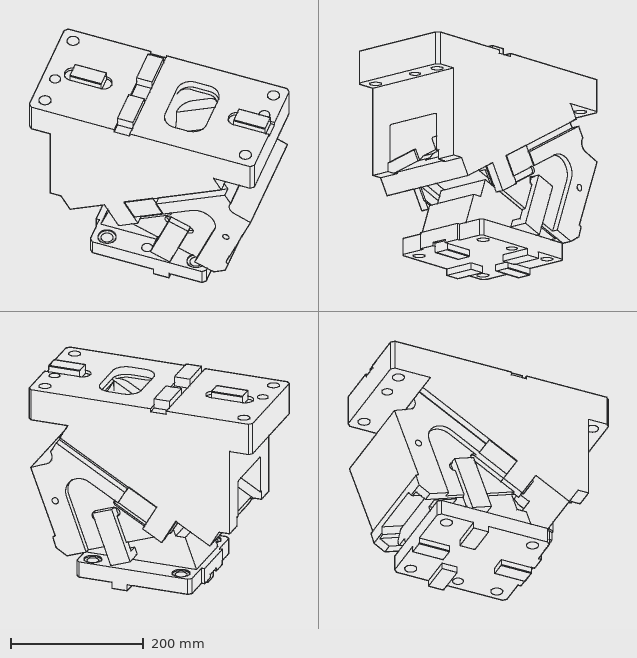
import cadquery as cq
import math


TOTAL_HEIGHT = 318.0
WIDTH = 165.0
HALF_WIDTH = WIDTH / 2
CORNER_CHAMFER = 5.0
MARGIN = 18.0

KEY_LENGTH = 50.0
KEY_WIDTH = 25.0
KEY_HEIGHT = 15.0
KEY_STAND = 10.0
KEY_CHAMFER = 1.0
KEY_SEAT_LENGTH = 75.0

BOLT_DIAMETER = 18.0
DOWEL_DIAMETER = 16.2

GUIDE_ANGLE = 30
GUIDE_X = 153.0
GUIDE_Z = 145.8
GUIDE_LENGTH = 180.0
HOOK_LENGTH = 35.5
HOOK_DEPTH = 45.0
CORE_HALF_WIDTH = 69.0

DRIVE_ANGLE = 20
HEEL_U = -25.2


def guide(u, v):
    """Point u along the guide face and v square to it (positive into the cam base)."""
    a = math.radians(GUIDE_ANGLE)
    return (GUIDE_X + u * math.cos(a) - v * math.sin(a), GUIDE_Z + u * math.sin(a) + v * math.cos(a))


DRIVE_X, DRIVE_Z = guide(HEEL_U, -HOOK_DEPTH)


def drive(p, w):
    """Point p along the slide underside and w square to it (positive into the slide)."""
    a = math.radians(DRIVE_ANGLE)
    return (DRIVE_X + p * math.cos(a) + w * math.sin(a), DRIVE_Z - p * math.sin(a) + w * math.cos(a))


def guide_down_to(u, z):
    """Point at height z on the line square to the guide face at u."""
    a = math.radians(GUIDE_ANGLE)
    return guide(u, (z - GUIDE_Z - u * math.sin(a)) / math.cos(a))


def drive_down_to(p, z):
    """Point at height z on the line square to the slide underside at p."""
    a = math.radians(DRIVE_ANGLE)
    return drive(p, (z - DRIVE_Z + p * math.sin(a)) / math.cos(a))


def rectangle(place, a0, a1, b0, b1):
    """Corners of a rectangle in the guide or drive directions."""
    return [place(a0, b0), place(a1, b0), place(a1, b1), place(a0, b1)]


def closed(points):
    return cq.Workplane("XZ").polyline(points).close()


def across(outline, y0, y1):
    """Extrude an XZ outline from y0 to y1."""
    return outline.extrude(y1 - y0).translate((0, y1, 0))


def centred(points, half_width):
    return across(closed(points), -half_width, half_width)


def both_sides(solid):
    return solid.union(solid.mirror("XZ"))


def block(x0, x1, y0, y1, z0, z1):
    return cq.Workplane("XY").box(x1 - x0, y1 - y0, z1 - z0, centered=False).translate((x0, y0, z0))


def x_key(x0, z0, outer_face):
    """Key along X in the middle of the width; its long outer edges are chamfered."""
    key = block(x0, x0 + KEY_LENGTH, -KEY_WIDTH / 2, KEY_WIDTH / 2, z0, z0 + KEY_HEIGHT)
    return key.faces(outer_face).edges("|X").chamfer(KEY_CHAMFER)


def y_keys(x0, y0, z0):
    """Two keys along Y, one on each side of the middle."""
    return both_sides(block(x0, x0 + KEY_WIDTH, y0, y0 + KEY_LENGTH, z0, z0 + KEY_HEIGHT))


PLATE_LENGTH = 360.0
PLATE_THICKNESS = 50.0
PLATE_TOP = TOTAL_HEIGHT - KEY_STAND
PLATE_BOTTOM = PLATE_TOP - PLATE_THICKNESS
TOP_KEY_Z = TOTAL_HEIGHT - KEY_HEIGHT

BODY_LEFT = 35.0
BODY_BOTTOM = 121.5
NOSE_U = -99.5
FLOOR_V = 31.5

LEFT_KEY_X = 41.5
RIGHT_KEY_X = 303.5
CROSS_KEY_X = 137.5
TOP_CROSS_KEY_Y = 17.5

PLATE_BOLT_INSET = 19.8
PLATE_BOLT_Y = 62.5
LEFT_DOWEL_Y = -17.5
RIGHT_DOWEL_Y = 22.0

POCKET_HALF_WIDTH = 47.5
POCKET_TOP = 194.0
POCKET_END_U = 2.5
POCKET_CORNER = 3.5
SLOT_HALF_WIDTH = 51.0
SLOT_TOP_V = 49.5
RAMP_START_U = -41.0
RAMP_END_U = -30.5
RAMP_HEIGHT = 3.5
BUFFER_HALF_WIDTH = 27.0
BUFFER_U = -52.0

WINDOW_LEFT = 199.0
WINDOW_RIGHT = 265.0
WINDOW_CORNER = 21.5
WINDOW_RIM_DEPTH = 16.0
WINDOW_LEDGE = 3.2
WINDOW_FLOOR_V = 73.0
TROUGH_RADIUS = 23.0
TROUGH_AXIS_V = 58.5
BORE_START_U = 108.0
BORE_END_U = 167.5


def base_outline():
    return [
        (BODY_LEFT, PLATE_TOP - CORNER_CHAMFER),
        (BODY_LEFT, BODY_BOTTOM),
        guide_down_to(NOSE_U, BODY_BOTTOM),
        guide(NOSE_U, 0),
        guide(GUIDE_LENGTH, 0),
        guide_down_to(GUIDE_LENGTH, PLATE_BOTTOM),
        guide_down_to(GUIDE_LENGTH, PLATE_TOP - CORNER_CHAMFER),
    ]


def left_pocket():
    """Opening in the left wall, ending at a wall square to the guide, with a buffer opening in its floor."""
    outside_x = BODY_LEFT - MARGIN
    outside_u = NOSE_U - MARGIN
    outline = [
        (outside_x, POCKET_TOP),
        (outside_x, BODY_BOTTOM),
        guide_down_to(NOSE_U, BODY_BOTTOM),
        guide(NOSE_U, FLOOR_V),
        guide(RAMP_START_U, FLOOR_V),
        guide(RAMP_END_U, FLOOR_V + RAMP_HEIGHT),
        guide(POCKET_END_U, FLOOR_V + RAMP_HEIGHT),
        guide_down_to(POCKET_END_U, POCKET_TOP),
    ]
    pocket = centred(outline, POCKET_HALF_WIDTH)
    pocket = pocket.faces(">Z").edges("|X").fillet(POCKET_CORNER)
    slot = rectangle(guide, outside_u, RAMP_START_U, FLOOR_V, SLOT_TOP_V)
    buffer_opening = rectangle(guide, BUFFER_U, POCKET_END_U, 0, SLOT_TOP_V)
    pocket = pocket.union(centred(slot, SLOT_HALF_WIDTH))
    return pocket.union(centred(buffer_opening, BUFFER_HALF_WIDTH))


def spring_bore(u0, u1):
    """Cylinder on the axis of the spring trough, parallel to the guide face."""
    start_x, start_z = guide(u0, TROUGH_AXIS_V)
    end_x, end_z = guide(u1, TROUGH_AXIS_V)
    plane = cq.Plane(origin=(start_x, 0, start_z), xDir=(0, 1, 0), normal=(end_x - start_x, 0, end_z - start_z))
    return cq.Workplane(plane).circle(TROUGH_RADIUS).extrude(u1 - u0)


def spring_window():
    """Opening in the top, down to the sloping floor and the round-bottomed spring trough."""
    rim_bottom = PLATE_TOP - WINDOW_RIM_DEPTH
    rim = block(WINDOW_LEFT, WINDOW_RIGHT, -POCKET_HALF_WIDTH, POCKET_HALF_WIDTH, rim_bottom, PLATE_TOP)
    rim = rim.edges("|Z").fillet(WINDOW_CORNER).faces("<Z").chamfer(WINDOW_LEDGE)
    inner_half_width = POCKET_HALF_WIDTH - WINDOW_LEDGE
    inner = block(WINDOW_LEFT, WINDOW_RIGHT - WINDOW_LEDGE, -inner_half_width, inner_half_width, 0, PLATE_TOP)
    prism = rim.union(inner.edges("|Z").fillet(WINDOW_CORNER - WINDOW_LEDGE))
    above_floor = centred(rectangle(guide, 0, PLATE_LENGTH, WINDOW_FLOOR_V, PLATE_LENGTH), HALF_WIDTH)
    trough_walls = centred(rectangle(guide, 0, PLATE_LENGTH, TROUGH_AXIS_V, PLATE_LENGTH), TROUGH_RADIUS)
    window = prism.intersect(above_floor.union(trough_walls).union(spring_bore(0, PLATE_LENGTH)))
    return window.union(spring_bore(BORE_START_U, BORE_END_U))


def top_key_seats():
    seat_floor = cq.Workplane("XY", origin=(0, 0, TOP_KEY_Z))
    left = seat_floor.center(LEFT_KEY_X + KEY_LENGTH / 2, 0).slot2D(KEY_SEAT_LENGTH, KEY_WIDTH).extrude(MARGIN)
    overrun = KEY_SEAT_LENGTH - KEY_LENGTH
    right = seat_floor.center(RIGHT_KEY_X + KEY_LENGTH / 2 + overrun / 2, 0)
    right = right.slot2D(KEY_SEAT_LENGTH + overrun, KEY_WIDTH).extrude(MARGIN)
    cross = block(CROSS_KEY_X, CROSS_KEY_X + KEY_WIDTH, -HALF_WIDTH, HALF_WIDTH, TOP_KEY_Z, TOTAL_HEIGHT)
    return left.union(right).union(cross)


def plate_holes():
    right_x = PLATE_LENGTH - PLATE_BOLT_INSET
    bolts = [(x, y) for x in (PLATE_BOLT_INSET, right_x) for y in (-PLATE_BOLT_Y, PLATE_BOLT_Y)]
    dowels = [(PLATE_BOLT_INSET, LEFT_DOWEL_Y), (right_x, RIGHT_DOWEL_Y)]
    start = cq.Workplane("XY", origin=(0, 0, PLATE_BOTTOM))
    holes = start.pushPoints(bolts).circle(BOLT_DIAMETER / 2).extrude(PLATE_THICKNESS)
    return holes.union(start.pushPoints(dowels).circle(DOWEL_DIAMETER / 2).extrude(PLATE_THICKNESS))


def make_cam_base():
    plate = block(0, PLATE_LENGTH, -HALF_WIDTH, HALF_WIDTH, PLATE_BOTTOM, PLATE_TOP)
    plate = plate.edges("|Z").chamfer(CORNER_CHAMFER)
    hook = across(closed(rectangle(guide, -HOOK_LENGTH, 0, -HOOK_DEPTH, 0)), CORE_HALF_WIDTH, HALF_WIDTH)
    base = plate.union(centred(base_outline(), HALF_WIDTH)).union(both_sides(hook))
    base = base.cut(left_pocket()).cut(spring_window()).cut(plate_holes()).cut(top_key_seats())
    for key_x in (LEFT_KEY_X, RIGHT_KEY_X):
        base = base.union(x_key(key_x, TOP_KEY_Z, ">Z"))
    return base.union(y_keys(CROSS_KEY_X, TOP_CROSS_KEY_Y, TOP_KEY_Z))


FOOT_LEFT = 97.5
FOOT_RIGHT = 283.0
FOOT_BOTTOM = KEY_STAND
FOOT_TOP = 35.3
FOOT_TONGUE_LENGTH = 5.0
FOOT_TONGUE_HALF_WIDTH = 37.5

FOOT_KEY_X = (FOOT_LEFT, FOOT_RIGHT - KEY_LENGTH)
FOOT_CROSS_KEY_X = 200.0
FOOT_CROSS_KEY_Y = HALF_WIDTH - KEY_LENGTH

FOOT_BOLT_X = (120.0, 262.0)
FOOT_BOLT_Y = 65.0
FOOT_DOWEL_X = 184.0
COUNTERBORE_DIAMETER = 27.0
COUNTERBORE_DEPTH = 2.0

COLUMN_HALF_WIDTH = 45.0
STEP_TOP = 85.5
STEP_LEFT_P = -27.7
COLUMN_LEFT_P = -13.5
COLUMN_RIGHT_P = 136.8
COLUMN_TOP_W = 16.2

HEAD_LEFT_P = 97.2
HEAD_HALF_WIDTH = 64.0
HEAD_BOTTOM_W = -1.0
HEAD_SHOULDER_W = 5.0


def column_outline():
    return [
        drive_down_to(STEP_LEFT_P, FOOT_TOP),
        drive_down_to(STEP_LEFT_P, STEP_TOP),
        drive_down_to(COLUMN_LEFT_P, STEP_TOP),
        drive(COLUMN_LEFT_P, COLUMN_TOP_W),
        drive(COLUMN_RIGHT_P, COLUMN_TOP_W),
        drive_down_to(COLUMN_RIGHT_P, FOOT_TOP),
    ]


def along_drive(profile, p0, p1):
    """Extrude a (y, w) profile along the slide underside from p0 to p1."""
    x, z = drive(p0, 0)
    a = math.radians(DRIVE_ANGLE)
    plane = cq.Plane(origin=(x, 0, z), xDir=(0, 1, 0), normal=(math.cos(a), 0, -math.sin(a)))
    return cq.Workplane(plane).polyline(profile).close().extrude(p1 - p0)


def mirrored_profile(half):
    """Close a profile drawn for positive y with its mirror image."""
    return half + [(-y, w) for y, w in reversed(half)]


def foot_holes():
    bolts = [(x, y) for x in FOOT_BOLT_X for y in (-FOOT_BOLT_Y, FOOT_BOLT_Y)]
    start = cq.Workplane("XY", origin=(0, 0, FOOT_TOP))
    holes = start.pushPoints(bolts).circle(BOLT_DIAMETER / 2).extrude(-FOOT_TOP)
    holes = holes.union(start.pushPoints(bolts).circle(COUNTERBORE_DIAMETER / 2).extrude(-COUNTERBORE_DEPTH))
    dowel = start.center(FOOT_DOWEL_X, -FOOT_BOLT_Y).circle(DOWEL_DIAMETER / 2).extrude(-FOOT_TOP)
    return holes.union(dowel)


def make_driver():
    foot = block(FOOT_LEFT, FOOT_RIGHT, -HALF_WIDTH, HALF_WIDTH, FOOT_BOTTOM, FOOT_TOP)
    foot = foot.edges("|Z").chamfer(CORNER_CHAMFER)
    tongue = block(
        FOOT_LEFT - FOOT_TONGUE_LENGTH, FOOT_LEFT,
        -FOOT_TONGUE_HALF_WIDTH, FOOT_TONGUE_HALF_WIDTH, FOOT_BOTTOM, FOOT_TOP,
    )
    tongue_seat = block(FOOT_LEFT - MARGIN, FOOT_LEFT, -KEY_WIDTH / 2, KEY_WIDTH / 2, 0, KEY_HEIGHT)
    foot = foot.union(tongue).cut(foot_holes()).cut(tongue_seat)
    for key_x in FOOT_KEY_X:
        foot = foot.union(x_key(key_x, 0, "<Z"))
    foot = foot.union(y_keys(FOOT_CROSS_KEY_X, FOOT_CROSS_KEY_Y, 0))
    head = mirrored_profile([
        (HEAD_HALF_WIDTH, HEAD_BOTTOM_W),
        (HEAD_HALF_WIDTH, HEAD_SHOULDER_W),
        (COLUMN_HALF_WIDTH, COLUMN_TOP_W),
    ])
    driver = foot.union(centred(column_outline(), COLUMN_HALF_WIDTH))
    return driver.union(along_drive(head, HEAD_LEFT_P, COLUMN_RIGHT_P))


UNDERSIDE_LENGTH = 152.5
TOE_POINTS = [(315.0, 53.0), (320.0, 69.5), (316.0, 72.0)]
TIP = (355.5, 179.0)
SCOOP_END = (329.0, 189.7)
SCOOP_MIDDLE = (321.5, 199.8)
SCOOP_START_V = -30.0

CORE_U = -38.0
CORE_LEFT_DEPTH = 30.2

LEDGE_START_U = 52.5
LEDGE_DEPTH = 11.0
GUARD_BOTTOM_V = -33.0
GUARD_RECESS = 1.5
GROOVE_END_U = 60.0

SIDE_POCKET_FLOOR_Y = 73.0
SIDE_POCKET_RADIUS = 25.2
SIDE_POCKET_RIGHT_P = 120.0

TAB_LEFT_P = 54.7
TAB_RIGHT_P = 88.0
TAB_BOTTOM_W = -28.5
TAB_TOP_W = 58.5
TAB_LIP_THICKNESS = 12.0
TAB_LIP_Y = 52.5
TAB_INNER_Y = 67.5
RELIEF_RADIUS = 7.0
RELIEF_DROP = 8.3

CHANNEL_HALF_WIDTH = 66.0
CHANNEL_FLAT_INNER_Y = 54.7
CHANNEL_TOP_HALF_WIDTH = 48.5
CHANNEL_SHOULDER_W = 14.5
CHANNEL_TOP_W = 24.0
SPOT_HOLE = (316.0, 130.5)
SPOT_HOLE_DIAMETER = 10.0
SPOT_HOLE_DEPTH = 5.0


def slide_outline():
    wire = cq.Workplane("XZ").moveTo(*guide(0, 0)).lineTo(*guide(0, -HOOK_DEPTH)).lineTo(*drive(0, 0))
    wire = wire.lineTo(*drive(UNDERSIDE_LENGTH, 0))
    for point in TOE_POINTS + [TIP, SCOOP_END]:
        wire = wire.lineTo(*point)
    wire = wire.threePointArc(SCOOP_MIDDLE, guide(GUIDE_LENGTH, SCOOP_START_V))
    return wire.lineTo(*guide(GUIDE_LENGTH, 0)).close()


def slide_core():
    """Part of the slide that reaches to the left between the base hooks."""
    outline = [guide(0, 0), guide(CORE_U, 0), guide(CORE_U, -CORE_LEFT_DEPTH), drive(0, 0), guide(0, -HOOK_DEPTH)]
    return centred(outline, CORE_HALF_WIDTH)


def side_pocket():
    """Pocket open at the underside, its upper right corner rounded."""
    a = math.radians(GUIDE_ANGLE)
    b = math.radians(DRIVE_ANGLE)
    x0, z0 = guide(0, GUARD_BOTTOM_V)
    right_x, right_z = drive(SIDE_POCKET_RIGHT_P, 0)
    reach = (right_x - x0) * math.cos(b) - (right_z - z0) * math.sin(b)
    corner_u = reach / math.cos(a + b)
    outline = [
        guide(-HOOK_LENGTH, GUARD_BOTTOM_V),
        guide(corner_u, GUARD_BOTTOM_V),
        drive(SIDE_POCKET_RIGHT_P, -MARGIN),
        drive(0, -MARGIN),
    ]
    pocket = across(closed(outline), SIDE_POCKET_FLOOR_Y, HALF_WIDTH)
    return pocket.edges("|Y").edges(">X").fillet(SIDE_POCKET_RADIUS)


def guard_groove():
    """Round-ended groove in the pocket floor, under the guard panel."""
    depth = HOOK_DEPTH + GUARD_BOTTOM_V
    middle_v = GUARD_BOTTOM_V - depth / 2
    end_u = GROOVE_END_U - depth / 2
    groove = cq.Workplane("XZ").moveTo(*guide(0, GUARD_BOTTOM_V)).lineTo(*guide(end_u, GUARD_BOTTOM_V))
    groove = groove.threePointArc(guide(GROOVE_END_U, middle_v), guide(end_u, -HOOK_DEPTH))
    groove = groove.lineTo(*guide(0, -HOOK_DEPTH)).close()
    return across(groove, CORE_HALF_WIDTH, HALF_WIDTH)


def seat_reliefs():
    relief_w = TAB_TOP_W - RELIEF_DROP
    places = [drive(TAB_LEFT_P, relief_w), drive(TAB_RIGHT_P, relief_w)]
    circles = cq.Workplane("XZ").pushPoints(places).circle(RELIEF_RADIUS)
    return across(circles, TAB_INNER_Y, HALF_WIDTH)


def side_cuts():
    """Everything cut into one flank of the slide."""
    ledge = across(closed(rectangle(guide, LEDGE_START_U, GUIDE_LENGTH, -LEDGE_DEPTH, 0)), CORE_HALF_WIDTH, HALF_WIDTH)
    guard = closed(rectangle(guide, 0, LEDGE_START_U, GUARD_BOTTOM_V, 0))
    guard = across(guard, HALF_WIDTH - GUARD_RECESS, HALF_WIDTH)
    spot_x, spot_z = SPOT_HOLE
    spot = cq.Workplane(cq.Solid.makeCone(
        SPOT_HOLE_DIAMETER / 2, 0, SPOT_HOLE_DEPTH, cq.Vector(spot_x, HALF_WIDTH, spot_z), cq.Vector(0, -1, 0)
    ))
    return side_pocket().union(ledge).union(guard).union(guard_groove()).union(seat_reliefs()).union(spot)


def return_tab():
    """L-shaped tab that reaches down the flank and hooks inwards below the driver head."""
    plate = closed(rectangle(drive, TAB_LEFT_P, TAB_RIGHT_P, TAB_BOTTOM_W, TAB_TOP_W))
    lip = closed(rectangle(drive, TAB_LEFT_P, TAB_RIGHT_P, TAB_BOTTOM_W, TAB_BOTTOM_W + TAB_LIP_THICKNESS))
    return across(plate, TAB_INNER_Y, HALF_WIDTH).union(across(lip, TAB_LIP_Y, HALF_WIDTH))


def driver_channel():
    """Channel along the underside that fits over the driver's head and column."""
    profile = mirrored_profile([
        (CHANNEL_HALF_WIDTH, -MARGIN),
        (CHANNEL_HALF_WIDTH, CHANNEL_SHOULDER_W),
        (CHANNEL_FLAT_INNER_Y, CHANNEL_SHOULDER_W),
        (CHANNEL_TOP_HALF_WIDTH, CHANNEL_TOP_W),
    ])
    return along_drive(profile, -UNDERSIDE_LENGTH, UNDERSIDE_LENGTH + MARGIN)


def make_slide():
    slide = across(slide_outline(), -HALF_WIDTH, HALF_WIDTH).union(slide_core())
    slide = slide.cut(both_sides(side_cuts())).cut(driver_channel())
    return slide.union(both_sides(return_tab()))


cam_base = make_cam_base()
slide = make_slide()
driver = make_driver()

result = cq.Compound.makeCompound([cam_base.val(), slide.val(), driver.val()])